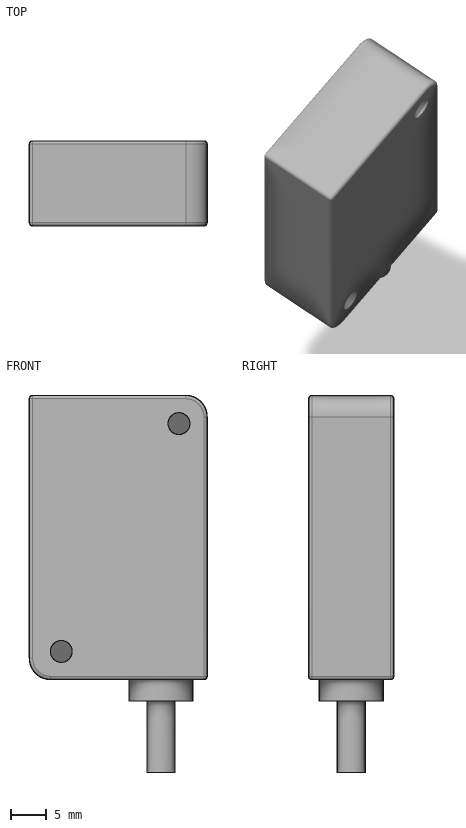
import cadquery as cq

width = 25.0
depth = 12.0
total_height = 53.0
corner_radius = 3.0
edge_radius = 0.5

gland_diameter = 9.0
gland_length = 3.0
cable_diameter = 4.0
cable_length = 10.0
cable_to_right_side = 6.5

hole_diameter = 3.1
hole_depth = 10.0
hole_inset = 4.0
lower_hole_to_left_side = 4.5

housing_height = total_height - gland_length - cable_length
cable_x = width / 2 - cable_to_right_side
front_y = -depth / 2
hole_centres = [
    (width / 2 - hole_inset, housing_height - hole_inset),
    (lower_hole_to_left_side - width / 2, hole_inset),
]


def make_housing():
    """Box with two opposite large corners and all other edges softened."""
    box = cq.Workplane("XY").box(width, depth, housing_height, centered=(True, True, False))
    upper_right = box.edges("|Y and >X and >Z")
    lower_left = box.edges("|Y and <X and <Z")
    rounded = box.newObject(upper_right.vals() + lower_left.vals()).fillet(corner_radius)
    square_corners = rounded.edges("(|Y and >X and <Z) or (|Y and <X and >Z)")
    face_outlines = rounded.faces("<Y or >Y").edges()
    return rounded.newObject(square_corners.vals() + face_outlines.vals()).fillet(edge_radius)


def hanging_cylinder(diameter, length):
    """Cylinder on the cable axis, reaching down from the housing bottom."""
    return cq.Workplane("XY").center(cable_x, 0).circle(diameter / 2).extrude(-length)


def make_mounting_holes():
    """Cylinders that cut the blind holes, running in from the front face."""
    front_plane = cq.Workplane("XZ", origin=(0, front_y, 0))
    return front_plane.pushPoints(hole_centres).circle(hole_diameter / 2).extrude(-hole_depth)


gland = hanging_cylinder(gland_diameter, gland_length)
cable = hanging_cylinder(cable_diameter, gland_length + cable_length)

result = make_housing().union(gland).union(cable).cut(make_mounting_holes())